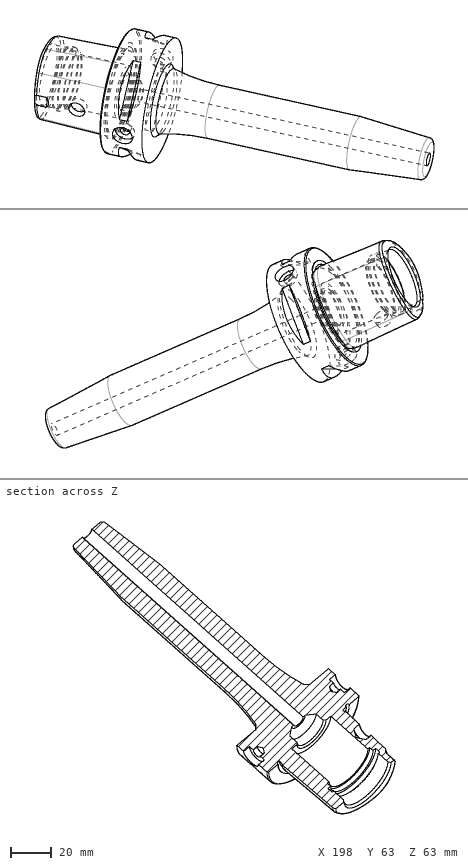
import cadquery as cq
import math

total_length = 198.0
flange_start = 38.0
flange_end = 60.0
flare_start = 62.2
shank_start = 86.7
nose_start = 160.2

flange_radius = 31.5
flange_chamfer = 0.5
collar_radius = 18.5
flare_radius = 16.5
shank_radius = 13.5
nose_tip_radius = 10.5
nose_fillet = 2.0

mean_radius = 22.0
eccentricity = 1.4
flank_radius = 31.3
taper_slope = 1 / 40
tip_chamfer_length = 1.4
tip_chamfer_depth = 0.5
neck_start = 35.8
neck_chamfer_depth = 0.5
relief_mean_radius = 23.4
relief_section_radius = 1.0

mouth_radius = 16.0
mouth_chamfer_length = 1.4
entry_radius = 15.2
groove_radius = 16.2
groove_start = 8.3
groove_end = 11.0
land_radius = 14.5
land_end = 13.5
bore_radius = 13.3
bore_floor = 39.6
socket_radius = 9.0
socket_chamfer = 1.0
socket_depth = 6.0
cone_end_radius = 4.5
cone_length = 3.2
through_radius = 3.2

coupling_hole_x = 22.4
coupling_hole_radius = 4.2
coupling_hole_bottom = 16.5
point_slope = math.tan(math.radians(31))
notch_radius = 5.0
notch_floor = 18.5
notch_length = 6.3
flange_mid = 49.9
pocket_radius = 5.1
pocket_floor = 27.5
pilot_radius = 2.4
pilot_bottom = 24.8

slot_floor_width = 4.0
slot_floor_distance = 27.7
slot_wall_angle = 30.0


def revolve_profile(points):
    """Revolve a closed (x, radius) polygon about the X axis."""
    return cq.Workplane("XY").polyline(points).close().revolve(360, (0, 0, 0), (1, 0, 0))


def drill(radius, start, end, x):
    """Pointed hole along Y from y = -start to y = -end, with the point beyond."""
    profile = [(0, 0), (radius, 0), (radius, start - end), (0, start - end + radius * point_slope)]
    tool = cq.Workplane("XY").polyline(profile).close().revolve(360, (0, 0, 0), (0, 1, 0))
    return tool.translate((x, -start, 0))


def lobed_wire(x, inset):
    """Outline of three flanks and three lobes, all tangent, moved inwards by inset."""
    flank_offset = flank_radius - (mean_radius - eccentricity)
    lobe_offset = 4 * eccentricity * (flank_offset - eccentricity) / (flank_offset - 4 * eccentricity)
    half_sweep = math.atan2(
        lobe_offset * math.sin(math.pi / 3),
        flank_offset + lobe_offset * math.cos(math.pi / 3),
    )

    def flank_point(flank_angle, sweep):
        radius = flank_radius - inset
        y = radius * math.cos(flank_angle + sweep) - flank_offset * math.cos(flank_angle)
        z = radius * math.sin(flank_angle + sweep) - flank_offset * math.sin(flank_angle)
        return cq.Vector(x, y, z)

    third = 2 * math.pi / 3
    lobe_reach = mean_radius + eccentricity - inset
    edges = []
    for index in range(3):
        lobe_angle = index * third
        flank_angle = lobe_angle + third / 2
        lobe_start = flank_point(flank_angle - third, half_sweep)
        lobe_tip = cq.Vector(x, lobe_reach * math.cos(lobe_angle), lobe_reach * math.sin(lobe_angle))
        flank_start = flank_point(flank_angle, -half_sweep)
        flank_middle = flank_point(flank_angle, 0)
        flank_end = flank_point(flank_angle, half_sweep)
        edges.append(cq.Edge.makeThreePointArc(lobe_start, lobe_tip, flank_start))
        edges.append(cq.Edge.makeThreePointArc(flank_start, flank_middle, flank_end))
    return cq.Wire.assembleEdges(edges)


def coupling_inset(x):
    """Inset of the tapered outline at station x."""
    return (flange_start - x) * taper_slope


def make_coupling():
    neck_end = flange_start + relief_section_radius
    neck_inset = coupling_inset(neck_start) + neck_chamfer_depth
    stations = [
        (0, coupling_inset(0) + tip_chamfer_depth),
        (tip_chamfer_length, coupling_inset(tip_chamfer_length)),
        (neck_start, coupling_inset(neck_start)),
        (flange_start, neck_inset),
        (neck_end, neck_inset),
    ]
    wires = [lobed_wire(x, inset) for x, inset in stations]
    coupling = cq.Workplane("XY")
    for near, far in zip(wires, wires[1:]):
        coupling = coupling.union(cq.Workplane(cq.Solid.makeLoft([near, far], True)))
    return coupling


def make_flange_and_shank():
    flare_length = shank_start - flare_start
    flare_rise = flare_radius - shank_radius
    arc_radius = (flare_length**2 + flare_rise**2) / (2 * flare_rise)
    half_angle = math.asin(flare_length / arc_radius) / 2
    flare_middle = (
        shank_start - arc_radius * math.sin(half_angle),
        shank_radius + arc_radius * (1 - math.cos(half_angle)),
    )
    profile = (
        cq.Workplane("XY")
        .moveTo(flange_start, 0)
        .lineTo(flange_start, flange_radius - flange_chamfer)
        .lineTo(flange_start + flange_chamfer, flange_radius)
        .lineTo(flange_end, flange_radius)
        .lineTo(flange_end, collar_radius)
        .lineTo(flare_start, flare_radius)
        .threePointArc(flare_middle, (shank_start, shank_radius))
        .lineTo(nose_start, shank_radius)
        .lineTo(total_length, nose_tip_radius)
        .lineTo(total_length, 0)
        .close()
    )
    body = profile.revolve(360, (0, 0, 0), (1, 0, 0))
    body = body.faces(">X").edges().fillet(nose_fillet)
    relief = cq.Solid.makeTorus(
        relief_mean_radius, relief_section_radius, cq.Vector(flange_start, 0, 0), cq.Vector(1, 0, 0)
    )
    return body.cut(cq.Workplane(relief))


def make_bore():
    socket_end = bore_floor + socket_depth
    return revolve_profile([
        (0, 0),
        (0, mouth_radius),
        (mouth_chamfer_length, entry_radius),
        (groove_start, entry_radius),
        (groove_start, groove_radius),
        (groove_end, groove_radius),
        (groove_end, land_radius),
        (land_end, land_radius),
        (land_end, bore_radius),
        (bore_floor, bore_radius),
        (bore_floor, socket_radius + socket_chamfer),
        (bore_floor + socket_chamfer, socket_radius),
        (socket_end, socket_radius),
        (socket_end + cone_length, cone_end_radius),
        (socket_end + cone_length, through_radius),
        (total_length, through_radius),
        (total_length, 0),
    ])


def make_notch():
    """Round-bottomed notch along X with a 90 degree drill point."""
    notch = revolve_profile([
        (0, 0),
        (0, notch_radius),
        (notch_length, notch_radius),
        (notch_length + notch_radius, 0),
    ])
    return notch.translate((0, -(notch_floor + notch_radius), 0))


def make_rim_pocket():
    """Flat-bottomed pocket on the -Y side of the rim, with a pilot hole in its floor."""
    pocket = cq.Workplane("XZ", origin=(flange_mid, -pocket_floor, 0)).circle(pocket_radius)
    pocket = pocket.extrude(flange_radius - pocket_floor)
    return pocket.union(drill(pilot_radius, pocket_floor, pilot_bottom, flange_mid))


def make_slot(angle):
    """V-walled straight slot across the flange rim, at an angle about X from +Y."""
    height = flange_radius - slot_floor_distance
    half_floor = slot_floor_width / 2
    half_top = half_floor + height * math.tan(math.radians(slot_wall_angle))
    section = [
        (flange_mid - half_floor, slot_floor_distance),
        (flange_mid + half_floor, slot_floor_distance),
        (flange_mid + half_top, flange_radius),
        (flange_mid - half_top, flange_radius),
    ]
    slot = cq.Workplane("XY").polyline(section).close().extrude(flange_radius, both=True)
    return slot.rotate((0, 0, 0), (1, 0, 0), angle)


result = make_coupling().union(make_flange_and_shank())
result = result.cut(make_bore())
result = result.cut(make_notch())
result = result.cut(drill(coupling_hole_radius, flange_radius, coupling_hole_bottom, coupling_hole_x))
rim_pocket = make_rim_pocket()
result = result.cut(rim_pocket).cut(rim_pocket.mirror("XZ"))
for slot_angle in (45, 135, 225, 315):
    result = result.cut(make_slot(slot_angle))